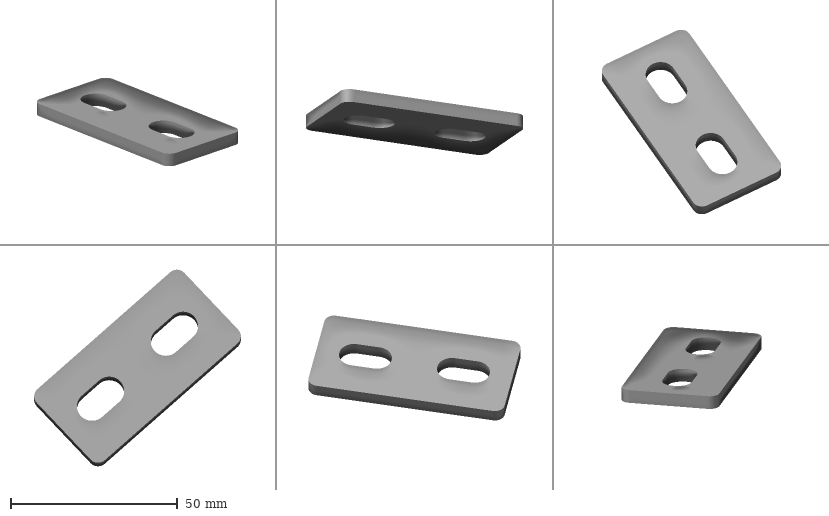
import cadquery as cq

length = 60.0
width = length / 2
thickness = 4.0
corner_radius = 3.0

slot_length = 16.0
slot_width = 9.0
slot_spacing = length / 2

plate = (
    cq.Workplane("XY")
    .box(length, width, thickness)
    .edges("|Z")
    .fillet(corner_radius)
)

result = (
    plate.faces(">Z")
    .workplane()
    .rarray(slot_spacing, 0.6, 2, 1)
    .slot2D(slot_length, slot_width)
    .cutThruAll()
)